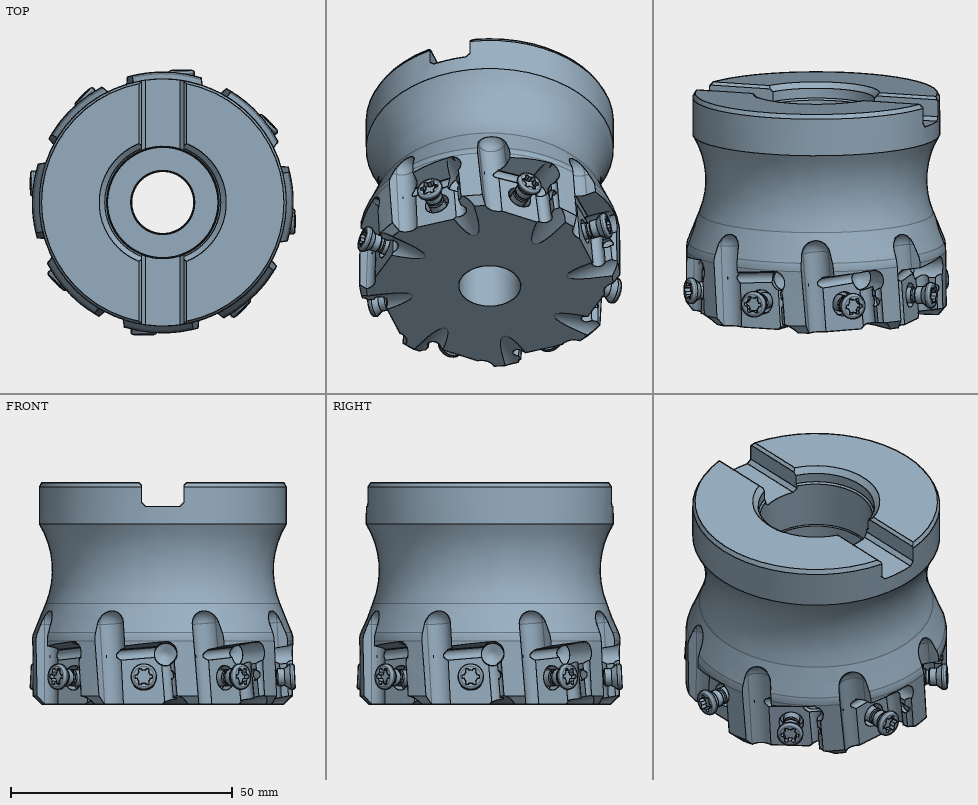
import cadquery as cq
import math


TOOTH_COUNT = 8
HEIGHT = 50.1
SHANK_RADIUS = 27.9
CUTTING_RADIUS = 29.45
TILT = 4.7
LEAN = 3.0
TOOTH_PITCH = 360 / TOOTH_COUNT
OVERCUT = 5.0

RIM_CHAMFER_WIDTH = 0.55
RIM_CHAMFER_HEIGHT = 1.0
NECK_RADIUS = 24.97
NECK_ARC_RADIUS = 20.0
NECK_Z = 30.3
FLARE_ANGLE = 22.0
FLARE_BLEND_RADIUS = 5.0
CUTTING_CHAMFER_WIDTH = 1.6
CUTTING_CHAMFER_HEIGHT = 1.9

BORE_RADIUS = 12.7
BORE_STEP_Z = 35.2
LOWER_BORE_RADIUS = 12.45
BORE_FLOOR_Z = 25.0
MOUTH_RADIUS = 13.1
MOUTH_CHAMFER = 1.25
MOUTH_DEPTH = 3.5
THROUGH_RADIUS = 7.0
THROUGH_CHAMFER = 0.25

SLOT_WIDTH = 9.5
SLOT_DEPTH = 5.4
SLOT_EDGE_CHAMFER = 0.65
SLOT_FLOOR_CHAMFER = 0.9

FLUTE_RADIUS = 3.1
FLUTE_TANGENT = 11.26
FLUTE_OUTWARD = 26.7
FLUTE_TOP_Z = 18.3

SCREW_TANGENT = -4.28
SCREW_Z = 6.3
SEAT_OUTWARD = 24.2
POCKET_LEFT = -6.9
POCKET_RIGHT = 6.25
POCKET_BOTTOM = -8.0
POCKET_TOP_INNER = 6.8
POCKET_TOP_OUTER = 7.4
TOP_RELIEF_RADIUS = 1.3
TOP_RELIEF_HEIGHT = 5.5
TOP_RELIEF_OUTWARD = 24.85
TOP_RELIEF_LEFT = -8.0
SIDE_RELIEF_RADIUS = 1.55
SIDE_RELIEF_OFFSET = 5.45
SIDE_RELIEF_OUTWARD = 25.2
EDGE_RELIEF_RADIUS = 1.2
EDGE_RELIEF_OFFSET = 5.95
EDGE_RELIEF_OUTWARD = 29.3
RELIEF_TOP = 5.0
CORNER_HOLE_RADIUS = 2.56
CORNER_HOLE_OFFSET = 5.35
CORNER_HOLE_HEIGHT = 4.9
CORNER_HOLE_OUTWARD = 22.6
CORNER_HOLE_CONE = 1.2
WALL_NOTCH_RADIUS = 1.25
WALL_NOTCH_END = 7.2
WALL_NOTCH_OUTWARD = 27.3
FOOT_RELIEF_RADIUS = 3.7
FOOT_RELIEF_TANGENT = 2.6
FOOT_RELIEF_TOP_Z = 2.1
FOOT_RELIEF_LEAN = 10.0
FOOT_RELIEF_OUTWARD = 16.0
SEAT_HOLE_RADIUS = 2.75
SEAT_HOLE_FLOOR = 21.5

SCREW_END = 17.5
THREAD_RADIUS = 1.85
THREAD_TOP = 24.9
UNDERCUT_RADIUS = 1.6
UNDERCUT_TOP = 25.7
COLLAR_RADIUS = 1.95
COLLAR_CHAMFER = 0.3
COLLAR_TOP = 27.5
HEAD_RADIUS = 2.88
HEAD_CONE_TOP = 28.8
HEAD_RIM_TOP = 29.25
HEAD_TOP = 29.81
SOCKET_DEPTH = 1.4
SOCKET_CORE_RADIUS = 1.5
SOCKET_LOBE_RADIUS = 0.42
SOCKET_TIP_RADIUS = 2.0
SOCKET_LOBES = 6


def outward_cylinder(radius, tangent, z, start, end):
    """Cylinder along the outward (-Y) direction between two distances from the cutter axis."""
    return cq.Workplane(
        cq.Solid.makeCylinder(radius, end - start, cq.Vector(tangent, -start, z), cq.Vector(0, -1, 0))
    )


def leaned(shape, pivot_z, angle):
    """Lift the outward direction of a shape by an angle, about a tangential line at the cutting radius."""
    return shape.rotate((0, -CUTTING_RADIUS, pivot_z), (1, -CUTTING_RADIUS, pivot_z), -angle)


def around_cutter(shape, index):
    """Move a shape from the first tooth to the tooth with this index."""
    return shape.rotate((0, 0, 0), (0, 0, 1), index * TOOTH_PITCH)


def body_blank():
    flare = math.radians(FLARE_ANGLE)
    neck_arc_centre = NECK_RADIUS + NECK_ARC_RADIUS
    shank_rise = math.sqrt(NECK_ARC_RADIUS**2 - (neck_arc_centre - SHANK_RADIUS) ** 2)
    flare_top_radius = neck_arc_centre - NECK_ARC_RADIUS * math.cos(flare)
    flare_top_z = NECK_Z - NECK_ARC_RADIUS * math.sin(flare)
    flare_foot_z = flare_top_z - (CUTTING_RADIUS - flare_top_radius) / math.tan(flare)
    blend_reach = FLARE_BLEND_RADIUS * math.tan(flare / 2)
    blend_centre_radius = CUTTING_RADIUS - FLARE_BLEND_RADIUS
    blend_foot_z = flare_foot_z - blend_reach
    return (
        cq.Workplane("XZ")
        .moveTo(0, 0)
        .lineTo(CUTTING_RADIUS - CUTTING_CHAMFER_WIDTH, 0)
        .lineTo(CUTTING_RADIUS, CUTTING_CHAMFER_HEIGHT)
        .lineTo(CUTTING_RADIUS, blend_foot_z)
        .threePointArc(
            (
                blend_centre_radius + FLARE_BLEND_RADIUS * math.cos(flare / 2),
                blend_foot_z + FLARE_BLEND_RADIUS * math.sin(flare / 2),
            ),
            (
                blend_centre_radius + FLARE_BLEND_RADIUS * math.cos(flare),
                blend_foot_z + FLARE_BLEND_RADIUS * math.sin(flare),
            ),
        )
        .lineTo(flare_top_radius, flare_top_z)
        .threePointArc((NECK_RADIUS, NECK_Z), (SHANK_RADIUS, NECK_Z + shank_rise))
        .lineTo(SHANK_RADIUS, HEIGHT - RIM_CHAMFER_HEIGHT)
        .lineTo(SHANK_RADIUS - RIM_CHAMFER_WIDTH, HEIGHT)
        .lineTo(0, HEIGHT)
        .close()
        .revolve(360, (0, 0), (0, 1))
    )


def bore():
    mouth_step_z = HEIGHT - MOUTH_DEPTH
    mouth_step = MOUTH_RADIUS - BORE_RADIUS
    bore_step = BORE_RADIUS - LOWER_BORE_RADIUS
    profile = [
        (0, -OVERCUT),
        (THROUGH_RADIUS, -OVERCUT),
        (THROUGH_RADIUS, BORE_FLOOR_Z - THROUGH_CHAMFER),
        (THROUGH_RADIUS + THROUGH_CHAMFER, BORE_FLOOR_Z),
        (LOWER_BORE_RADIUS, BORE_FLOOR_Z),
        (LOWER_BORE_RADIUS, BORE_STEP_Z - bore_step),
        (BORE_RADIUS, BORE_STEP_Z),
        (BORE_RADIUS, mouth_step_z - mouth_step),
        (MOUTH_RADIUS, mouth_step_z),
        (MOUTH_RADIUS, HEIGHT - MOUTH_CHAMFER),
        (MOUTH_RADIUS + MOUTH_CHAMFER, HEIGHT),
        (0, HEIGHT),
    ]
    return cq.Workplane("XZ").polyline(profile).close().revolve(360, (0, 0), (0, 1))


def driving_slot():
    half = SLOT_WIDTH / 2
    floor_z = HEIGHT - SLOT_DEPTH
    right_side = [
        (half - SLOT_FLOOR_CHAMFER, floor_z),
        (half, floor_z + SLOT_FLOOR_CHAMFER),
        (half, HEIGHT - SLOT_EDGE_CHAMFER),
        (half + SLOT_EDGE_CHAMFER, HEIGHT),
    ]
    left_side = [(-x, z) for x, z in reversed(right_side)]
    return cq.Workplane("XZ").polyline(right_side + left_side).close().extrude(SHANK_RADIUS, both=True)


def flute():
    """Ball-ended groove whose walls open by one tooth pitch: one wall of each neighbouring tooth."""
    opening = math.radians(TOOTH_PITCH)
    reach = 2 * OVERCUT
    wall_direction = (math.sin(opening), -math.cos(opening))
    wall_normal = (math.cos(opening), math.sin(opening))
    wall_foot = (FLUTE_RADIUS * wall_normal[0], FLUTE_RADIUS * wall_normal[1])
    wall_end = (wall_foot[0] + reach * wall_direction[0], wall_foot[1] + reach * wall_direction[1])
    bottom_angle = opening / 2
    groove = (
        cq.Workplane("XY")
        .moveTo(-FLUTE_RADIUS, -reach)
        .lineTo(-FLUTE_RADIUS, 0)
        .threePointArc(
            (FLUTE_RADIUS * -math.sin(bottom_angle), FLUTE_RADIUS * math.cos(bottom_angle)), wall_foot
        )
        .lineTo(*wall_end)
        .close()
        .extrude(-FLUTE_TOP_Z - OVERCUT)
    )
    cutter = groove.union(cq.Workplane("XY").sphere(FLUTE_RADIUS))
    for direction in ((0, -1), wall_direction):
        run_out = cq.Solid.makeCylinder(
            FLUTE_RADIUS, reach, cq.Vector(0, 0, 0), cq.Vector(direction[0], direction[1], 0)
        )
        cutter = cutter.union(cq.Workplane(run_out))
    top_tangent = FLUTE_TANGENT - FLUTE_TOP_Z * math.tan(math.radians(TILT))
    return cutter.rotate((0, 0, 0), (0, -1, 0), TILT).translate((top_tangent, -FLUTE_OUTWARD, FLUTE_TOP_Z))


def upright_relief(radius, offset, outward):
    """Round groove running up the pocket wall from below the cutting end."""
    return (
        cq.Workplane("XY")
        .circle(radius)
        .extrude(RELIEF_TOP - POCKET_BOTTOM)
        .translate((SCREW_TANGENT + offset, -outward, SCREW_Z + POCKET_BOTTOM))
    )


def along_pocket(radius, left, right, outward, height):
    """Round groove running across the pocket, parallel to its seat."""
    return (
        cq.Workplane("YZ")
        .circle(radius)
        .extrude(right - left)
        .translate((SCREW_TANGENT + left, -outward, SCREW_Z + height))
    )


def insert_pocket():
    pocket_outer = CUTTING_RADIUS + OVERCUT
    top_slope = (POCKET_TOP_OUTER - POCKET_TOP_INNER) / (CUTTING_RADIUS - SEAT_OUTWARD)
    section = [
        (-SEAT_OUTWARD, POCKET_BOTTOM),
        (-SEAT_OUTWARD, POCKET_TOP_INNER),
        (-pocket_outer, POCKET_TOP_OUTER + top_slope * OVERCUT),
        (-pocket_outer, POCKET_BOTTOM),
    ]
    pocket = (
        cq.Workplane("YZ")
        .polyline(section)
        .close()
        .extrude(POCKET_RIGHT - POCKET_LEFT)
        .translate((SCREW_TANGENT + POCKET_LEFT, 0, SCREW_Z))
    )
    top_relief = along_pocket(
        TOP_RELIEF_RADIUS, TOP_RELIEF_LEFT, CORNER_HOLE_OFFSET, TOP_RELIEF_OUTWARD, TOP_RELIEF_HEIGHT
    )
    wall_notch = along_pocket(WALL_NOTCH_RADIUS, SIDE_RELIEF_OFFSET, WALL_NOTCH_END, WALL_NOTCH_OUTWARD, 0)
    side_relief = upright_relief(SIDE_RELIEF_RADIUS, SIDE_RELIEF_OFFSET, SIDE_RELIEF_OUTWARD)
    edge_relief = upright_relief(EDGE_RELIEF_RADIUS, EDGE_RELIEF_OFFSET, EDGE_RELIEF_OUTWARD)
    hole_tangent = SCREW_TANGENT + CORNER_HOLE_OFFSET
    hole_z = SCREW_Z + CORNER_HOLE_HEIGHT
    corner_hole = outward_cylinder(
        CORNER_HOLE_RADIUS, hole_tangent, hole_z, CORNER_HOLE_OUTWARD, pocket_outer
    )
    hole_tip = cq.Workplane(
        cq.Solid.makeCone(
            CORNER_HOLE_RADIUS,
            0,
            CORNER_HOLE_CONE,
            cq.Vector(hole_tangent, -CORNER_HOLE_OUTWARD, hole_z),
            cq.Vector(0, 1, 0),
        )
    )
    for cut in (top_relief, wall_notch, side_relief, edge_relief, corner_hole, hole_tip):
        pocket = pocket.union(cut)
    screw_foot = (SCREW_TANGENT, 0, SCREW_Z)
    screw_tip = (SCREW_TANGENT, -1, SCREW_Z)
    return leaned(pocket.rotate(screw_foot, screw_tip, TILT), SCREW_Z, LEAN)


def foot_relief():
    """Round clearance under the pocket corner at the cutting end."""
    relief = outward_cylinder(
        FOOT_RELIEF_RADIUS,
        FOOT_RELIEF_TANGENT,
        FOOT_RELIEF_TOP_Z - FOOT_RELIEF_RADIUS,
        FOOT_RELIEF_OUTWARD,
        CUTTING_RADIUS + OVERCUT,
    )
    return leaned(relief, FOOT_RELIEF_TOP_Z, FOOT_RELIEF_LEAN)


def screw_hole():
    """Wide hole in the seat with the screw's thread hole in its floor."""
    wide = outward_cylinder(SEAT_HOLE_RADIUS, SCREW_TANGENT, SCREW_Z, SEAT_HOLE_FLOOR, SEAT_OUTWARD)
    narrow = outward_cylinder(THREAD_RADIUS, SCREW_TANGENT, SCREW_Z, SCREW_END, SEAT_OUTWARD)
    return leaned(wide.union(narrow), SCREW_Z, LEAN)


def make_cutter_body():
    body = body_blank().cut(bore()).cut(driving_slot())
    tooth_cuts = (flute(), insert_pocket(), foot_relief(), screw_hole())
    for index in range(TOOTH_COUNT):
        for cut in tooth_cuts:
            body = body.cut(around_cutter(cut, index))
    return body


def socket():
    """Six-lobed driver recess, standing on the XY plane."""
    recess = cq.Workplane("XY").circle(SOCKET_CORE_RADIUS).extrude(SOCKET_DEPTH)
    lobes = (
        cq.Workplane("XY")
        .polarArray(SOCKET_TIP_RADIUS - SOCKET_LOBE_RADIUS, 0, 360, SOCKET_LOBES)
        .circle(SOCKET_LOBE_RADIUS)
        .extrude(SOCKET_DEPTH)
    )
    return recess.union(lobes)


def make_screw():
    crown = HEAD_TOP - HEAD_RIM_TOP
    crown_middle = crown * math.sqrt(0.5)
    screw = (
        cq.Workplane("XZ")
        .moveTo(0, SCREW_END)
        .lineTo(THREAD_RADIUS, SCREW_END)
        .lineTo(THREAD_RADIUS, THREAD_TOP)
        .lineTo(UNDERCUT_RADIUS, THREAD_TOP + THREAD_RADIUS - UNDERCUT_RADIUS)
        .lineTo(UNDERCUT_RADIUS, UNDERCUT_TOP)
        .lineTo(COLLAR_RADIUS, UNDERCUT_TOP + COLLAR_CHAMFER)
        .lineTo(COLLAR_RADIUS, COLLAR_TOP)
        .lineTo(HEAD_RADIUS, HEAD_CONE_TOP)
        .lineTo(HEAD_RADIUS, HEAD_RIM_TOP)
        .threePointArc(
            (HEAD_RADIUS - crown + crown_middle, HEAD_RIM_TOP + crown_middle), (HEAD_RADIUS - crown, HEAD_TOP)
        )
        .lineTo(0, HEAD_TOP)
        .close()
        .revolve(360, (0, 0), (0, 1))
        .cut(socket().translate((0, 0, HEAD_TOP - SOCKET_DEPTH)))
    )
    placed = screw.rotate((0, 0, 0), (1, 0, 0), 90).translate((SCREW_TANGENT, 0, SCREW_Z))
    return leaned(placed, SCREW_Z, LEAN)


cutter_body = make_cutter_body()
first_screw = make_screw()
screws = [around_cutter(first_screw, index).val() for index in range(TOOTH_COUNT)]

result = cq.Compound.makeCompound([cutter_body.val(), *screws])